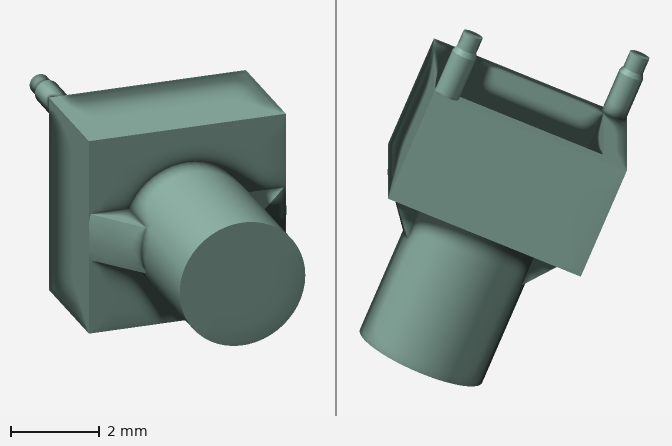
import cadquery as cq

shell_side = 4.70
shell_length = 2.67
cavity_side = 3.556
cavity_depth = 2.13

barrel_radius = 1.50
barrel_length = 3.68

gusset_width = 1.12
gusset_length = 1.14
gusset_root_radius = 2.375

pin_offset = 2.032
pin_radius = 0.29
pin_length = 1.52
tip_radius = 0.235
tip_length = 0.38
taper_length = 0.125


def make_shell():
    block = cq.Workplane("YZ").rect(shell_side, shell_side).extrude(shell_length)
    cavity = cq.Workplane("YZ").rect(cavity_side, cavity_side).extrude(cavity_depth)
    return block.cut(cavity)


def make_barrel():
    return cq.Workplane("YZ", origin=(shell_length, 0, 0)).circle(barrel_radius).extrude(barrel_length)


def make_gussets():
    """Cone narrowing to the barrel, trimmed to a band no wider in Y than the shell."""
    root_x = shell_length
    end_x = shell_length + gusset_length
    cone = (
        cq.Workplane("XY")
        .polyline([(root_x, 0), (root_x, gusset_root_radius), (end_x, barrel_radius), (end_x, 0)])
        .close()
        .revolve(360, (0, 0, 0), (1, 0, 0))
    )
    band = cq.Workplane("YZ", origin=(root_x, 0, 0)).rect(shell_side, gusset_width).extrude(gusset_length)
    return cone.intersect(band)


def make_housing():
    return make_shell().union(make_barrel()).union(make_gussets())


def make_pin(y, z):
    """Pin pointing toward -X, with a taper and a thinner tip."""
    taper_start = -(pin_length - tip_length - taper_length)
    taper_end = taper_start - taper_length
    profile = [
        (0, 0),
        (0, pin_radius),
        (taper_start, pin_radius),
        (taper_end, tip_radius),
        (-pin_length, tip_radius),
        (-pin_length, 0),
    ]
    pin = cq.Workplane("XY").polyline(profile).close().revolve(360, (0, 0, 0), (1, 0, 0))
    return pin.translate((0, y, z))


housing = make_housing()
pins = [make_pin(side * pin_offset, -side * pin_offset) for side in (-1, 1)]

result = cq.Compound.makeCompound([housing.val(), *[pin.val() for pin in pins]])